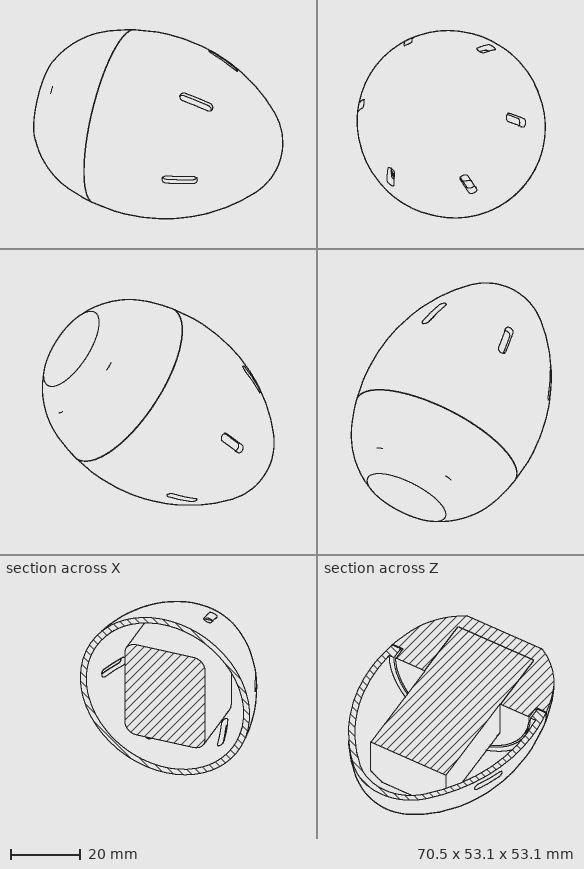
import cadquery as cq
import math

length = 70.5
max_diameter = 53.05
widest_x = 30.1
side_arc_radius = 50.4
foot_radius = 12.5
base_arc_end = 13.05
wall = 2.0

joint_x = 20.1
joint_gap = 0.15
tongue_diameter = 44.25
socket_diameter = 45.25
tongue_length = 4.0

box_start = 5.0
box_length = 50.0
box_width = 24.95
box_height = 31.0
box_corner_radius = 3.65

slot_count = 6
slot_first_angle = 52.5
slot_x = 48.4
slot_length = 10.1
slot_width = 2.5
slot_reach = 2.95

side_arc_y = max_diameter / 2 - side_arc_radius

base_angle = math.acos((base_arc_end - widest_x) / side_arc_radius)
chord_x = base_arc_end
chord_y = side_arc_y + side_arc_radius * math.sin(base_angle) - foot_radius
base_arc_radius = (chord_x**2 + chord_y**2) / (
    2 * (chord_x * math.cos(base_angle) + chord_y * math.sin(base_angle))
)
base_arc_x = widest_x + (side_arc_radius - base_arc_radius) * math.cos(base_angle)
base_arc_y = side_arc_y + (side_arc_radius - base_arc_radius) * math.sin(base_angle)

radius_shortfall = side_arc_radius - length
tip_sphere_x = (widest_x**2 + side_arc_y**2 - radius_shortfall**2) / (2 * (radius_shortfall + widest_x))
tip_sphere_radius = length - tip_sphere_x
tip_angle = math.atan2(-side_arc_y, tip_sphere_x - widest_x)


def arc_point(centre_x, centre_y, radius, angle):
    """Point on an arc at an angle measured from the +X direction."""
    return (centre_x + radius * math.cos(angle), centre_y + radius * math.sin(angle))


def egg(inset):
    """Solid egg lying inset below the outer surface, with its flat foot at x = inset."""
    base_arc = (base_arc_x, base_arc_y, base_arc_radius - inset)
    side_arc = (widest_x, side_arc_y, side_arc_radius - inset)
    tip_arc = (tip_sphere_x, 0, tip_sphere_radius - inset)
    foot_angle = math.acos((inset - base_arc_x) / (base_arc_radius - inset))
    return (
        cq.Workplane("XY")
        .moveTo(inset, 0)
        .lineTo(*arc_point(*base_arc, foot_angle))
        .threePointArc(arc_point(*base_arc, (foot_angle + base_angle) / 2), arc_point(*base_arc, base_angle))
        .threePointArc(arc_point(*side_arc, (base_angle + tip_angle) / 2), arc_point(*side_arc, tip_angle))
        .threePointArc(arc_point(*tip_arc, tip_angle / 2), arc_point(*tip_arc, 0))
        .close()
        .revolve(360, (0, 0, 0), (1, 0, 0))
    )


def disc(x_start, x_end, diameter):
    """Cylinder on the X axis between two stations."""
    return cq.Workplane("YZ").workplane(offset=x_start).circle(diameter / 2).extrude(x_end - x_start)


def make_box():
    """Solid box with its long edges rounded."""
    return (
        cq.Workplane("YZ")
        .workplane(offset=box_start)
        .rect(box_width, box_height)
        .extrude(box_length)
        .edges("|X")
        .fillet(box_corner_radius)
    )


def make_base(box):
    """Foot end of the egg with a tongue for the shell and a pocket for the box."""
    foot_end = egg(0).intersect(disc(0, joint_x, max_diameter))
    tongue = disc(joint_x, joint_x + tongue_length, tongue_diameter)
    return foot_end.union(tongue).cut(box)


def slot_cutter():
    """Rounded slot through the wall at angle zero (the +Y side), square to the surface."""
    normal_angle = math.acos((slot_x - widest_x) / side_arc_radius)
    outward = cq.Vector(math.cos(normal_angle), math.sin(normal_angle), 0)
    along = cq.Vector(math.sin(normal_angle), -math.cos(normal_angle), 0)
    surface_point = arc_point(widest_x, side_arc_y, side_arc_radius, normal_angle)
    plane = cq.Plane(origin=(*surface_point, 0), xDir=along, normal=outward)
    return cq.Workplane(plane).slot2D(slot_length, slot_width).extrude(slot_reach, both=True)


def make_shell(box):
    """Hollow tip end of the egg with its collar, vent slots and clearance for the box corners."""
    shell_start = joint_x + joint_gap
    collar_end = shell_start + tongue_length
    tip_end = egg(0).intersect(disc(shell_start, length, max_diameter))
    cavity = egg(wall).intersect(disc(collar_end, length, max_diameter))
    socket = disc(shell_start, collar_end, socket_diameter)
    shell = tip_end.cut(cavity).cut(socket).cut(box)
    for index in range(slot_count):
        angle = slot_first_angle + index * 360 / slot_count
        shell = shell.cut(slot_cutter().rotate((0, 0, 0), (1, 0, 0), angle))
    return shell


box = make_box()
base = make_base(box)
shell = make_shell(box)

result = cq.Compound.makeCompound([base.val(), shell.val(), box.val()])